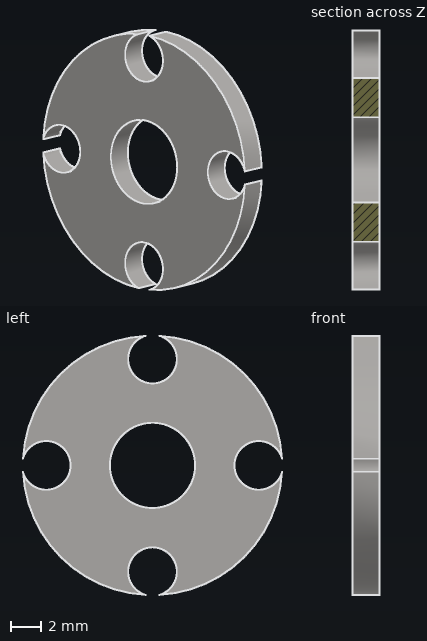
import cadquery as cq
import math

outer_size = 17.08
thickness = 1.8
bore_diameter = 5.6
notch_diameter = 3.2
notch_center_radius = 7.0
notch_count = 4

lip_height = outer_size / 2
notch_radius = notch_diameter / 2
half_gap = math.sqrt(notch_radius**2 - (lip_height - notch_center_radius) ** 2)
disc_radius = math.hypot(lip_height, half_gap)


def axial_cylinder(radius):
    """Cylinder along X, as long as the disc is thick and centered on the origin."""
    return cq.Workplane("YZ").circle(radius).extrude(thickness / 2, both=True)


result = axial_cylinder(disc_radius).cut(axial_cylinder(bore_diameter / 2))

for index in range(notch_count):
    angle = index * 360 / notch_count
    notch = axial_cylinder(notch_radius).translate((0, notch_center_radius, 0))
    result = result.cut(notch.rotate((0, 0, 0), (1, 0, 0), angle))